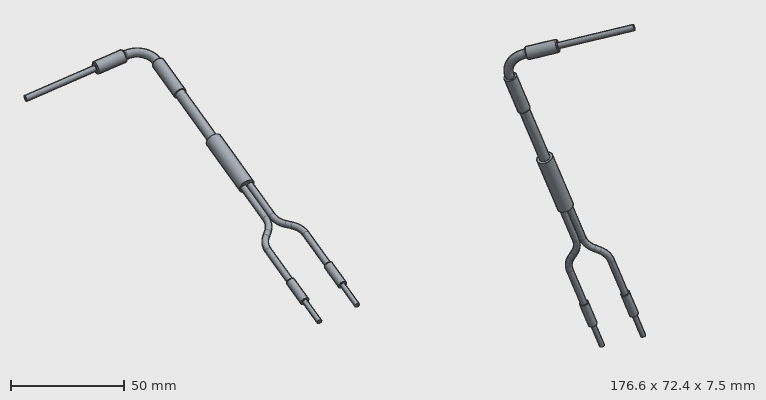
import cadquery as cq
import math

total_length = 176.6
total_width = 72.4

ferrule_diameter = 6.0
ferrule_length = 14.8
ferrule_chamfer = 0.5
rod_diameter = 2.8
bore_diameter = 1.6
bore_depth = 1.5
elbow_diameter = 4.0
elbow_radius = 10.0
stub_length = 0.9
trunk_sleeve_diameter = 5.8
trunk_sleeve_length = 19.8
cable_diameter = 4.8

coupling_diameter = 7.5
coupling_start = 64.0
coupling_length = 30.0

leg_diameter = 3.0
leg_spacing = 3.2
leg_spread = 19.0
leg_inner_length = 20.0
leg_bend_radius = 10.0
leg_bend_angle = 45.0
leg_sleeve_diameter = 4.0
leg_sleeve_length = 12.9
tip_diameter = 2.3
tip_length = 13.2

probe_x = ferrule_diameter / 2
elbow_end_x = probe_x + elbow_radius
trunk_sleeve_start = elbow_end_x + stub_length
trunk_sleeve_end = trunk_sleeve_start + trunk_sleeve_length
ferrule_top = -elbow_radius - stub_length
ferrule_bottom = ferrule_top - ferrule_length
rod_end = (leg_spread + leg_sleeve_diameter) / 2 - total_width
coupling_end = coupling_start + coupling_length

bend_start = coupling_end + leg_inner_length
leg_sleeve_end = total_length - tip_length
leg_sleeve_start = leg_sleeve_end - leg_sleeve_length


def rod_along_x(diameter, start, end, y=0):
    """Round bar parallel to X between two X positions."""
    return cq.Workplane("YZ", origin=(start, y, 0)).circle(diameter / 2).extrude(end - start)


def rod_along_y(diameter, start, end, x):
    """Round bar parallel to Y, running down from start to end."""
    return cq.Workplane("XZ", origin=(x, start, 0)).circle(diameter / 2).extrude(start - end)


def make_trunk():
    """Bored probe rod and ferrule along Y, turned by an elbow into the sleeve and cable along X."""
    rod = rod_along_y(rod_diameter, ferrule_bottom, rod_end, probe_x)
    bore = rod_along_y(bore_diameter, rod_end + bore_depth, rod_end, probe_x)
    rod = rod.cut(bore)
    ferrule = rod_along_y(ferrule_diameter, ferrule_top, ferrule_bottom, probe_x)
    ferrule = ferrule.faces("<Y or >Y").chamfer(ferrule_chamfer)

    diagonal = elbow_radius * math.sqrt(0.5)
    elbow_path = (
        cq.Workplane("XY", origin=(elbow_end_x, -elbow_radius, 0))
        .moveTo(-elbow_radius, -stub_length)
        .lineTo(-elbow_radius, 0)
        .threePointArc((-diagonal, diagonal), (0, elbow_radius))
        .lineTo(stub_length, elbow_radius)
    )
    elbow = (
        cq.Workplane("XZ", origin=(probe_x, ferrule_top, 0))
        .circle(elbow_diameter / 2)
        .sweep(elbow_path)
    )

    sleeve = rod_along_x(trunk_sleeve_diameter, trunk_sleeve_start, trunk_sleeve_end)
    cable = rod_along_x(cable_diameter, trunk_sleeve_end, coupling_start)
    return rod.union(ferrule).union(elbow).union(sleeve).union(cable)


def make_coupling():
    """Plain cylinder that the trunk and the legs butt against."""
    return rod_along_x(coupling_diameter, coupling_start, coupling_end)


def make_leg(side):
    """Leg that bends away from the X axis; side is +1 or -1 along Y."""
    inner_y = side * leg_spacing / 2
    outer_y = side * leg_spread / 2
    angle = math.radians(leg_bend_angle)

    arc_run = leg_bend_radius * math.sin(angle)
    arc_rise = leg_bend_radius * (1 - math.cos(angle))
    straight_rise = (leg_spread - leg_spacing) / 2 - 2 * arc_rise
    straight_run = straight_rise / math.tan(angle)
    first_arc_end = (bend_start + arc_run, inner_y + side * arc_rise)
    second_arc_start = (first_arc_end[0] + straight_run, outer_y - side * arc_rise)
    bend_end = second_arc_start[0] + arc_run

    mid_run = leg_bend_radius * math.sin(angle / 2)
    mid_rise = side * leg_bend_radius * (1 - math.cos(angle / 2))
    path = (
        cq.Workplane("XY")
        .moveTo(coupling_end, inner_y)
        .lineTo(bend_start, inner_y)
        .threePointArc((bend_start + mid_run, inner_y + mid_rise), first_arc_end)
        .lineTo(*second_arc_start)
        .threePointArc((bend_end - mid_run, outer_y - mid_rise), (bend_end, outer_y))
        .lineTo(leg_sleeve_start, outer_y)
    )
    wire = (
        cq.Workplane("YZ", origin=(coupling_end, inner_y, 0))
        .circle(leg_diameter / 2)
        .sweep(path)
    )

    sleeve = rod_along_x(leg_sleeve_diameter, leg_sleeve_start, leg_sleeve_end, outer_y)
    tip = rod_along_x(tip_diameter, leg_sleeve_end, total_length, outer_y)
    return wire.union(sleeve).union(tip)


trunk = make_trunk()
coupling = make_coupling()
legs = [make_leg(side) for side in (1, -1)]

result = cq.Compound.makeCompound(
    [trunk.val(), coupling.val(), *[leg.val() for leg in legs]]
)